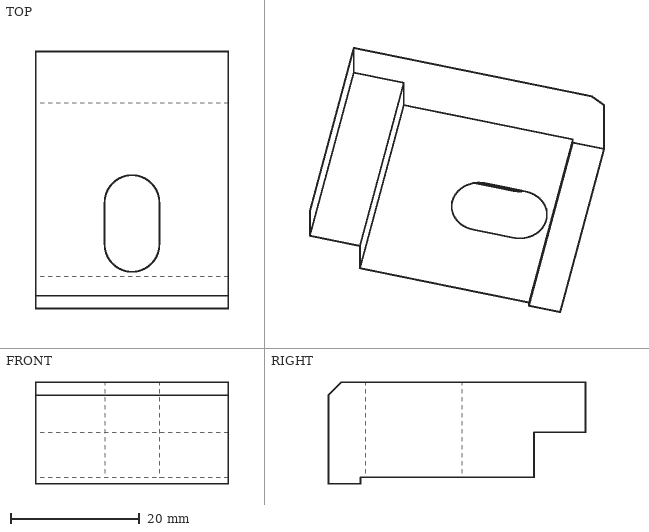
import cadquery as cq

width = 30.0
length = 40.0
height = 15.8

chamfer = 2.0
foot_length = 5.0
foot_height = 1.0
overhang_length = 8.0
overhang_thickness = 7.8

slot_width = 8.5
slot_length = 15.0
slot_center_y = 13.25


def clamp_body():
    """Extrude the stepped side profile across the full width."""
    step_y = length - overhang_length
    profile = [
        (0, 0),
        (foot_length, 0),
        (foot_length, foot_height),
        (step_y, foot_height),
        (step_y, height - overhang_thickness),
        (length, height - overhang_thickness),
        (length, height),
        (chamfer, height),
        (0, height - chamfer),
    ]
    return cq.Workplane("YZ").polyline(profile).close().extrude(width / 2, both=True)


def slot_cutter():
    """Round-ended slot running through the full height."""
    return (
        cq.Workplane("XY")
        .center(0, slot_center_y)
        .slot2D(slot_length, slot_width, angle=90)
        .extrude(height)
    )


result = clamp_body().cut(slot_cutter())